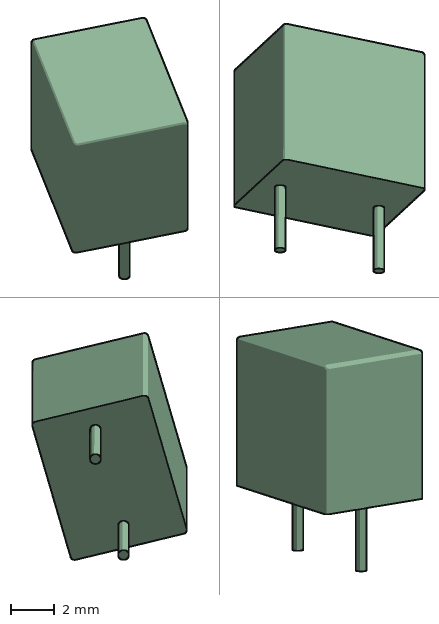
import cadquery as cq

body_length = 7.2
body_width = 5.5
body_height = 7.0
edge_radius = 0.2

lead_diameter = 0.5
lead_length = 3.2
lead_pitch = 5.0


def make_body():
    """Box standing on Z = 0, with every edge rounded except those of its bottom face."""
    box = cq.Workplane("XY").box(body_length, body_width, body_height, centered=(True, True, False))
    return box.edges("|Z or >Z").fillet(edge_radius)


def make_lead(x):
    """Round lead that hangs from the bottom face of the body at the given X."""
    return cq.Workplane("XY").center(x, 0).circle(lead_diameter / 2).extrude(-lead_length)


body = make_body()
leads = [make_lead(side * lead_pitch / 2) for side in (-1, 1)]

result = cq.Compound.makeCompound([body.val(), *[lead.val() for lead in leads]])